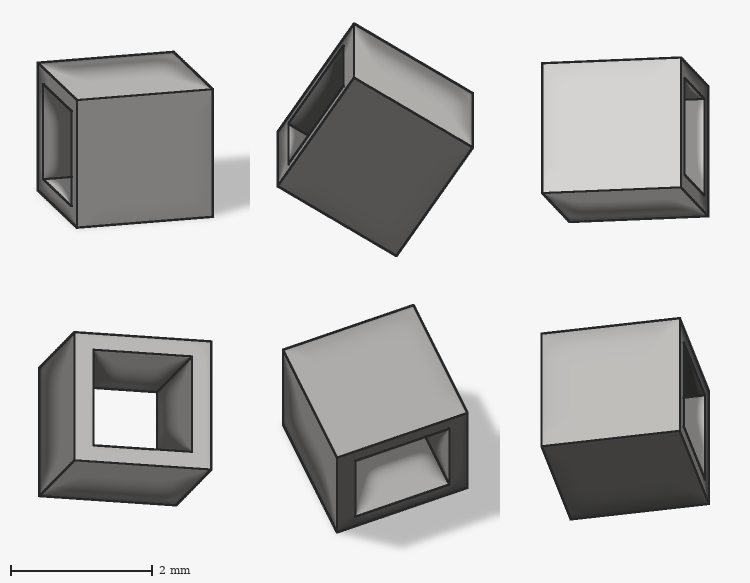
import cadquery as cq

width = 2.0
depth = 2.0
height = 1.88

side_wall = 0.28
floor_and_roof_wall = 0.24

opening_width = width - 2 * side_wall
opening_height = height - 2 * floor_and_roof_wall


def make_block():
    """Solid block centred on the origin."""
    return cq.Workplane("XY").box(width, depth, height)


def cut_opening(block):
    """Cut the centred rectangular opening right through along Y."""
    front_face = block.faces("<Y").workplane(centerOption="CenterOfBoundBox")
    return front_face.rect(opening_width, opening_height).cutThruAll()


result = cut_opening(make_block())